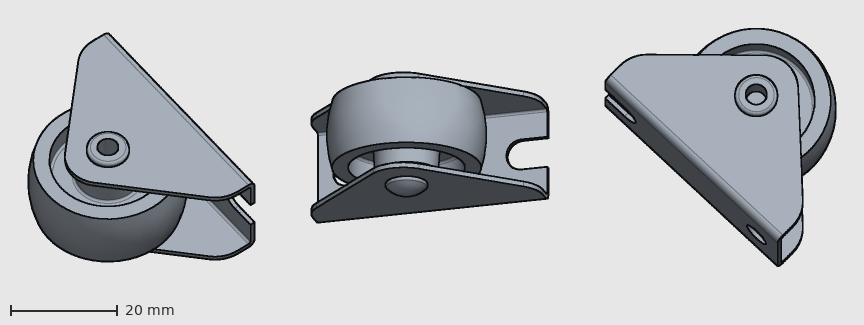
import cadquery as cq
import math


bracket_width = 45.0
bracket_height = 19.0
sheet = 1.0
bend_inner_radius = 0.5
back_to_axle = 17.5
leg_corner_depth = 7.0
leg_apex_depth = 28.5
leg_corner_radius = 7.0
leg_tip_radius = 6.5
mount_hole_diameter = 5.0
mount_hole_x = -17.0
mount_slot_width = 6.0
mount_slot_end_x = 17.5

wheel_radius = 15.0
wheel_edge_radius = 14.0
wheel_width = 13.0
recess_radius = 11.0
recess_depth = 4.4
recess_fillet = 0.5
hub_radius = 6.0
hub_base_radius = 6.3
hub_length = 15.0

axle_radius = 2.48
head_radius = 4.0
rivet_head_height = 1.05
rivet_head_fillet = 0.68
rivet_bore_radius = 2.0
rivet_bore_depth = 5.0
dome_head_height = 2.48
dome_rim_radius = 0.5

back_y = back_to_axle
half_width = bracket_width / 2
half_height = bracket_height / 2


def make_leg_outline():
    """Tapered leg shape seen along Z, as a prism through the full bracket height."""
    corner_y = back_y - leg_corner_depth
    prism = (
        cq.Workplane("XY")
        .workplane(offset=-half_height)
        .polyline([
            (-half_width, back_y),
            (half_width, back_y),
            (half_width, corner_y),
            (0, back_y - leg_apex_depth),
            (-half_width, corner_y),
        ])
        .close()
        .extrude(bracket_height)
    )
    prism = prism.edges("|Z").edges("<Y").fillet(leg_tip_radius)
    for side in (-1, 1):
        corner = cq.selectors.NearestToPointSelector((side * half_width, corner_y, 0))
        prism = prism.edges("|Z").edges(corner).fillet(leg_corner_radius)
    return prism


def make_channel():
    """Bent U-shaped sheet, open toward -Y and longer than the legs."""
    outer = (
        cq.Workplane("XY")
        .box(bracket_width, leg_apex_depth, bracket_height)
        .translate((0, back_y - leg_apex_depth / 2, 0))
        .edges("|X and >Y")
        .fillet(bend_inner_radius + sheet)
    )
    inner = (
        cq.Workplane("XY")
        .box(bracket_width, leg_apex_depth, bracket_height - 2 * sheet)
        .translate((0, back_y - sheet - leg_apex_depth / 2, 0))
        .edges("|X and >Y")
        .fillet(bend_inner_radius)
    )
    return outer.cut(inner)


def make_mount_cutter():
    """Round hole and open-ended slot through the back wall."""
    hole = (
        cq.Workplane("XZ", origin=(mount_hole_x, back_y, 0))
        .circle(mount_hole_diameter / 2)
        .extrude(sheet)
    )
    slot_end = (
        cq.Workplane("XZ", origin=(mount_slot_end_x, back_y, 0))
        .circle(mount_slot_width / 2)
        .extrude(sheet)
    )
    slot_length = half_width - mount_slot_end_x
    slot_run = (
        cq.Workplane("XZ", origin=(mount_slot_end_x + slot_length / 2, back_y, 0))
        .rect(slot_length, mount_slot_width)
        .extrude(sheet)
    )
    return hole.union(slot_end).union(slot_run)


def make_bracket():
    """Folded sheet bracket with a hole for the axle in each leg."""
    axle_hole = cq.Workplane("XY").circle(axle_radius).extrude(half_height, both=True)
    return make_channel().intersect(make_leg_outline()).cut(make_mount_cutter()).cut(axle_hole)


def make_recess():
    """Ring-shaped recess around the tapered hub in the upper wheel face, rounded at its floor."""
    face_z = wheel_width / 2
    hub_end_z = hub_length / 2
    floor_z = face_z - recess_depth
    return (
        cq.Workplane("XZ")
        .moveTo(hub_base_radius, floor_z)
        .lineTo(recess_radius, floor_z)
        .lineTo(recess_radius, hub_end_z)
        .lineTo(hub_radius, hub_end_z)
        .close()
        .revolve(360, (0, 0, 0), (0, 1, 0))
        .faces("<Z")
        .edges()
        .fillet(recess_fillet)
    )


def make_wheel():
    """Crowned wheel with a projecting hub and a recess in each face."""
    half_tread = wheel_width / 2
    tread = (
        cq.Workplane("XZ")
        .moveTo(0, -half_tread)
        .lineTo(wheel_edge_radius, -half_tread)
        .threePointArc((wheel_radius, 0), (wheel_edge_radius, half_tread))
        .lineTo(0, half_tread)
        .close()
        .revolve(360, (0, 0, 0), (0, 1, 0))
    )
    hub = cq.Workplane("XY").circle(hub_base_radius).extrude(hub_length / 2, both=True)
    bore = cq.Workplane("XY").circle(axle_radius).extrude(hub_length / 2, both=True)
    recess = make_recess()
    return tread.union(hub).cut(recess).cut(recess.mirror("XY")).cut(bore)


def make_axle():
    """Rivet axle with a domed lower head and a bored upper head."""
    shank_top = half_height
    shank_bottom = -half_height
    top_z = shank_top + rivet_head_height
    dome_z = shank_bottom - dome_head_height
    rim_z = shank_bottom - dome_rim_radius
    rim_center_radius = head_radius - dome_rim_radius
    rim_rise = rim_z - dome_z
    dome_radius = (rim_center_radius ** 2 + rim_rise ** 2 - dome_rim_radius ** 2) / (
        2 * (rim_rise - dome_rim_radius)
    )
    join_angle = math.asin(rim_center_radius / (dome_radius - dome_rim_radius))
    dome_center_z = dome_z + dome_radius
    dome_middle = (
        dome_radius * math.sin(join_angle / 2),
        dome_center_z - dome_radius * math.cos(join_angle / 2),
    )
    dome_end = (
        dome_radius * math.sin(join_angle),
        dome_center_z - dome_radius * math.cos(join_angle),
    )
    shank = cq.Workplane("XY").circle(axle_radius).extrude(half_height, both=True)
    rivet_head = (
        cq.Workplane("XY")
        .workplane(offset=shank_top)
        .circle(head_radius)
        .extrude(rivet_head_height)
        .faces(">Z")
        .edges()
        .fillet(rivet_head_fillet)
    )
    dome_head = (
        cq.Workplane("XZ")
        .moveTo(0, dome_z)
        .threePointArc(dome_middle, dome_end)
        .threePointArc((head_radius, rim_z), (rim_center_radius, shank_bottom))
        .lineTo(0, shank_bottom)
        .close()
        .revolve(360, (0, 0, 0), (0, 1, 0))
    )
    bore = (
        cq.Workplane("XY")
        .workplane(offset=top_z - rivet_bore_depth)
        .circle(rivet_bore_radius)
        .extrude(rivet_bore_depth)
    )
    return shank.union(rivet_head).union(dome_head).cut(bore)


bracket = make_bracket()
wheel = make_wheel()
axle = make_axle()

result = cq.Compound.makeCompound([bracket.val(), wheel.val(), axle.val()])